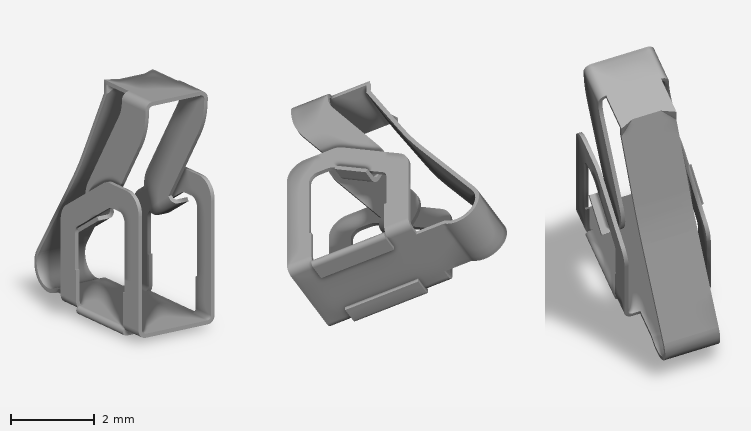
import cadquery as cq
import math


thickness = 0.1
bend_radius = 2 * thickness
total_height = 6.01
frame_length = 3.3
frame_width = 2.2
strip_width = 1.4
arm_span = 1.8
tab_span = 2.6

hem_gap = 0.005
base_bottom = thickness + hem_gap
base_top = base_bottom + thickness
hem_length = 1.985
hem_depth = 0.5
hem_limits = ((frame_length - hem_length) / 2, (frame_length + hem_length) / 2)

frame_height = 3.7
frame_rail = 0.6
frame_slope = math.radians(32)
frame_shoulder = 2.5
frame_corner_radius = 0.5
frame_peak_radius = 0.5
window_corner_radius = 0.23
foot_height = 1.12

loop_radius = 0.6
loop_x = -1.1
crest_radius = 0.14
lower_angle = math.radians(56)
upper_angle = math.radians(62.7)
lower_length = 2.58
strip_bend_radius = 8.835
gusset_depth = 0.34
gusset_run = 0.17

arm_width = 1.0
arm_angle = math.radians(57)
arm_bend_radius = 0.8
arm_straight = 2.38
arm_foot = 0.35


def polar(center, radius, angle):
    """Point at a radius and angle around a centre, in the XZ plane."""
    return (center[0] + radius * math.cos(angle), center[1] + radius * math.sin(angle))


def extrude_across(profile, width):
    """Extrude an XZ profile symmetrically across Y."""
    return profile.extrude(width / 2, both=True)


def box_between(x_range, y_range, z_range):
    """Box given by its limits along each axis."""
    size = [high - low for low, high in (x_range, y_range, z_range)]
    corner = (x_range[0], y_range[0], z_range[0])
    return cq.Workplane("XY").box(*size, centered=False).translate(corner)


def mirrored(side):
    """Join a one-sided feature with its mirror image across the XZ plane."""
    return side.union(side.mirror("XZ"))


def strip_face(inset):
    """Points along one face of the strip, inset inwards from its outer face."""
    radius = loop_radius - inset
    base_z = base_bottom + inset
    crest = crest_radius + inset
    center = (loop_x, loop_radius)
    crest_drop = loop_radius - base_z + crest
    crest_x = loop_x + math.sqrt((radius + crest) ** 2 - crest_drop ** 2)
    crest_center = (crest_x, base_z - crest)
    toward_crest = math.atan2(-crest_drop, crest_x - loop_x)
    toward_loop = toward_crest + math.pi

    lower_normal = lower_angle + math.pi / 2
    upper_normal = upper_angle + math.pi / 2
    loop_end = polar(center, radius, lower_normal)
    bend_start = polar(loop_end, lower_length, lower_angle)
    bend = strip_bend_radius + inset
    bend_center = polar(bend_start, bend, lower_normal)
    bend_end = polar(bend_center, -bend, upper_normal)
    top_z = total_height - inset
    top_x = bend_end[0] + (top_z - bend_end[1]) / math.tan(upper_angle)
    return {
        "base": (frame_length, base_z),
        "crest_start": (crest_x, base_z),
        "crest_mid": polar(crest_center, crest, (math.pi / 2 + toward_loop) / 2),
        "crest_end": polar(crest_center, crest, toward_loop),
        "loop_mid": polar(center, radius, math.pi),
        "loop_end": loop_end,
        "bend_start": bend_start,
        "bend_mid": polar(bend_center, -bend, (lower_normal + upper_normal) / 2),
        "bend_end": bend_end,
        "top": (top_x, top_z),
        "top_end": (frame_length, top_z),
    }


def make_strip():
    """Base strip, loop, sloped spring and top plate as one bent band."""
    outer = strip_face(0)
    inner = strip_face(thickness)
    profile = (
        cq.Workplane("XZ")
        .moveTo(*outer["base"])
        .lineTo(*outer["crest_start"])
        .threePointArc(outer["crest_mid"], outer["crest_end"])
        .threePointArc(outer["loop_mid"], outer["loop_end"])
        .lineTo(*outer["bend_start"])
        .threePointArc(outer["bend_mid"], outer["bend_end"])
        .lineTo(*outer["top"])
        .lineTo(*outer["top_end"])
        .lineTo(*inner["top_end"])
        .lineTo(*inner["top"])
        .lineTo(*inner["bend_end"])
        .threePointArc(inner["bend_mid"], inner["bend_start"])
        .lineTo(*inner["loop_end"])
        .threePointArc(inner["loop_mid"], inner["crest_end"])
        .threePointArc(inner["crest_mid"], inner["crest_start"])
        .lineTo(*inner["base"])
        .close()
    )
    return extrude_across(profile, strip_width)


def corner_prism(front_x, bottom, top):
    """Upright triangular prism at the +Y corner of the strip's top edge."""
    edge = strip_width / 2
    corner = [
        (front_x, edge),
        (front_x + gusset_run, edge - gusset_depth),
        (front_x + gusset_run, edge),
    ]
    return cq.Workplane("XY").workplane(offset=bottom).polyline(corner).close().extrude(top - bottom)


def add_gussets(strip):
    """Square out both ends of the strip's top fold with hollow triangular corners."""
    outer_x, outer_z = strip_face(0)["top"]
    inner_x, inner_z = strip_face(thickness)["top"]
    front_x = outer_x - gusset_run
    bottom = outer_z - gusset_run * math.tan(upper_angle)
    under_fold = [
        (inner_x, inner_z),
        (inner_x - (inner_z - bottom) / math.tan(upper_angle), bottom),
        (frame_length, bottom),
        (frame_length, inner_z),
    ]
    cavity = extrude_across(cq.Workplane("XZ").polyline(under_fold).close(), strip_width)
    block = mirrored(corner_prism(front_x, bottom, outer_z))
    hollow = mirrored(corner_prism(front_x + thickness, bottom, inner_z))
    return strip.union(block).cut(cavity).cut(hollow)


def channel(width, bottom, top, bent_side):
    """U-channel along the frame length, bent along its lowest ("<Z") or highest (">Z") edges."""
    bent_edges = "|X and " + bent_side
    half_width = width / 2
    half_bore = half_width - thickness
    shift = thickness if bent_side == "<Z" else -thickness
    outside = box_between((0, frame_length), (-half_width, half_width), (bottom, top))
    bore = box_between((0, frame_length), (-half_bore, half_bore), (bottom + shift, top + shift))
    inner_bend = bend_radius - thickness
    return outside.edges(bent_edges).fillet(bend_radius).cut(bore.edges(bent_edges).fillet(inner_bend))


def rounded_outline(corners):
    """Closed XZ outline through (x, z, radius) corners, rounding those with a radius."""
    outline = None
    for index, (x, z, radius) in enumerate(corners):
        before = corners[index - 1]
        after = corners[(index + 1) % len(corners)]
        back = math.atan2(before[1] - z, before[0] - x)
        ahead = math.atan2(after[1] - z, after[0] - x)
        half = abs(math.remainder(ahead - back, 2 * math.pi)) / 2
        setback = radius / math.tan(half)
        start = polar((x, z), setback, back)
        outline = outline.lineTo(*start) if outline else cq.Workplane("XZ").moveTo(*start)
        if radius:
            middle = back + math.remainder(ahead - back, 2 * math.pi) / 2
            to_arc = radius / math.sin(half) - radius
            outline = outline.threePointArc(polar((x, z), to_arc, middle), polar((x, z), setback, ahead))
    return outline.close()


def frame_outline(inset, corner_radius):
    """Five-sided frame outline, inset from its outer edge."""
    top = frame_height - inset
    right_x = frame_length - inset
    left_z = frame_shoulder + inset * math.tan(frame_slope) - inset / math.cos(frame_slope)
    peak_x = inset + (top - left_z) / math.tan(frame_slope)
    corners = [
        (inset, 0, 0),
        (inset, left_z, corner_radius),
        (peak_x, top, frame_peak_radius),
        (right_x, top, corner_radius),
        (right_x, 0, 0),
    ]
    return extrude_across(rounded_outline(corners), frame_width)


def make_frame():
    """Full-width base plate with a windowed frame standing on each side."""
    walls = channel(frame_width, base_bottom, frame_height, "<Z")
    outside = frame_outline(0, frame_corner_radius)
    window = frame_outline(frame_rail, window_corner_radius)

    half_width = frame_width / 2
    half_flat = half_width - bend_radius
    below_step = box_between((0, frame_length), (-half_width, half_width), (0, foot_height))
    between_feet = box_between(hem_limits, (-half_width, half_width), (0, foot_height))
    flat_base = box_between((0, frame_length), (-half_flat, half_flat), (0, base_top))
    opening = window.cut(below_step).union(between_feet).cut(flat_base)
    return walls.intersect(outside).cut(opening)


def make_hem():
    """Edges of the base plate folded flat under it between the frame feet."""
    fold_y = frame_width / 2
    fold_radius = base_top / 2
    leaf_y = fold_y - hem_depth
    hem = (
        cq.Workplane("YZ")
        .workplane(offset=hem_limits[0])
        .moveTo(leaf_y, 0)
        .lineTo(fold_y - fold_radius, 0)
        .threePointArc((fold_y, fold_radius), (fold_y - fold_radius, base_top))
        .lineTo(leaf_y, base_top)
        .close()
        .extrude(hem_length)
    )
    slot = box_between(hem_limits, (leaf_y, fold_y - thickness), (thickness, base_bottom))
    return mirrored(hem.cut(slot))


def arm_outline():
    """Side shape of an arm, from the top plate down to its slanted tab bend."""
    left_x = frame_length - arm_width
    outer_radius = arm_bend_radius + arm_width
    normal = arm_angle - math.pi / 2
    top_z = total_height - bend_radius
    half_turn = normal / 2

    top_center = (left_x - arm_bend_radius, top_z)
    left_upper = polar(top_center, arm_bend_radius, normal)
    right_upper = polar(top_center, outer_radius, normal)
    left_lower = polar(left_upper, -arm_straight, arm_angle)
    low_center = polar(left_lower, arm_bend_radius, normal)
    low_end = polar(low_center, -arm_bend_radius, frame_slope)
    foot_left = polar(low_end, arm_foot - bend_radius, frame_slope - math.pi / 2)
    foot_right = polar(foot_left, arm_width, frame_slope)
    elbow_reach = (arm_width - arm_bend_radius) / math.cos((frame_slope - normal) / 2)
    elbow = polar(low_center, elbow_reach, (frame_slope + normal) / 2)
    tab_corner = polar(low_end, arm_foot, frame_slope - math.pi / 2)

    low_middle = (normal + frame_slope) / 2
    outline = (
        cq.Workplane("XZ")
        .moveTo(left_x, total_height)
        .lineTo(left_x, top_z)
        .threePointArc(polar(top_center, arm_bend_radius, half_turn), left_upper)
        .lineTo(*left_lower)
        .threePointArc(polar(low_center, -arm_bend_radius, low_middle), low_end)
        .lineTo(*foot_left)
        .lineTo(*foot_right)
        .lineTo(*elbow)
        .lineTo(*right_upper)
        .threePointArc(polar(top_center, outer_radius, half_turn), (frame_length, top_z))
        .lineTo(frame_length, total_height)
        .close()
    )
    return outline, tab_corner


def make_tab(tab_corner):
    """Slanted tab under the frame's sloped rail, bent outwards from the arm."""
    wall_y = arm_span / 2 - thickness
    slope_plane = cq.Plane(
        origin=(tab_corner[0], 0, tab_corner[1]),
        xDir=(0, 1, 0),
        normal=(math.cos(frame_slope), 0, math.sin(frame_slope)),
    )
    inner_bend = bend_radius - thickness
    tab = (
        cq.Workplane(slope_plane)
        .moveTo(wall_y, bend_radius)
        .radiusArc((wall_y + bend_radius, 0), -bend_radius)
        .lineTo(tab_span / 2, 0)
        .lineTo(tab_span / 2, thickness)
        .lineTo(wall_y + bend_radius, thickness)
        .radiusArc((wall_y + thickness, bend_radius), inner_bend)
        .close()
        .extrude(arm_width)
    )
    return mirrored(tab)


def make_arms():
    """Two arms bent down from the top plate, each ending in a slanted tab."""
    outline, tab_corner = arm_outline()
    walls = channel(arm_span, 0, total_height, ">Z")
    return walls.intersect(extrude_across(outline, arm_span)).union(make_tab(tab_corner))


result = add_gussets(make_strip()).union(make_frame()).union(make_hem()).union(make_arms())